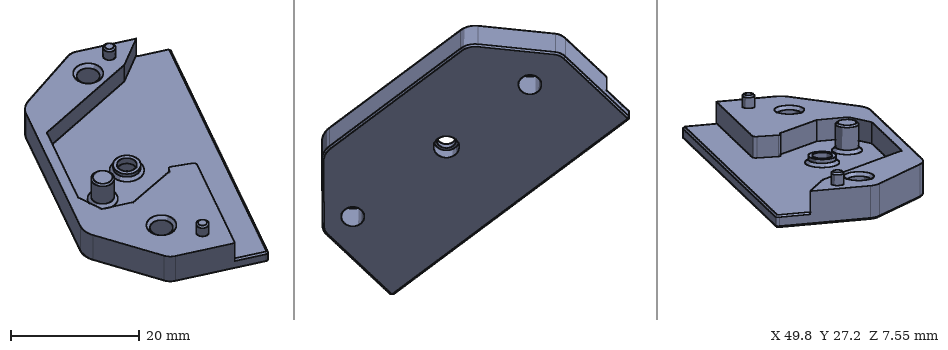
import cadquery as cq

length = 49.8
width = 27.25
total_height = 7.55
floor_height = 2.05
block_height = 5.55
edge_chamfer = 0.3

half_length = length / 2
back_y = width / 2
front_y = -width / 2

shoulder_y = -2.65
front_half_length = 15.25
shoulder_radius = 2.5
front_radius = 3.5
back_corner_radius = 0.5

block_back_y = 8.05
recess_front_y = -11.9
nose_radius = 0.6
relief_radius = 0.5
nose_corner = (5.35, block_back_y)
relief_corner = (5, 3.55)

hole_y = -1.55
block_hole_xs = (-19.5, 17.45)
block_hole_diameter = 3.6
countersink_diameter = 4.7
countersink_angle = 90

small_pin_points = [(-22.35, 2.85), (20.95, 4.05)]
small_pin_diameter = 2

large_pin_point = (5.15, -7.15)
large_pin_diameter = 3.65
large_pin_top = 6.55
large_pin_base_diameter = 4.75

bushing_point = (0, hole_y)
bushing_diameter = 4.35
bushing_base_diameter = 5.4
bushing_height = 1.15
bushing_bore = 3.1
bushing_counterbore = 4


def corner(x, y):
    """Selector box around the vertical edge at (x, y)."""
    reach = 0.05
    return cq.selectors.BoxSelector(
        (x - reach, y - reach, -reach), (x + reach, y + reach, total_height), boundingbox=False
    )


def outline_prism(height):
    """Full outline with its front corners rounded."""
    prism = (
        cq.Workplane("XY")
        .polyline([
            (-half_length, back_y),
            (-half_length, shoulder_y),
            (-front_half_length, front_y),
            (front_half_length, front_y),
            (half_length, shoulder_y),
            (half_length, back_y),
        ])
        .close()
        .extrude(height)
    )
    for side in (-1, 1):
        prism = prism.edges(corner(side * half_length, shoulder_y)).fillet(shoulder_radius)
        prism = prism.edges(corner(side * front_half_length, front_y)).fillet(front_radius)
        prism = prism.edges(corner(side * half_length, back_y)).fillet(back_corner_radius)
    return prism


def recess_cutter():
    """Everything above the floor that lies behind or between the block walls."""
    cutter = (
        cq.Workplane("XY")
        .polyline([
            (-half_length, back_y),
            (-half_length, block_back_y),
            (-19.65, 4.45),
            (-8.45, recess_front_y),
            (7.3, recess_front_y),
            (11.0, -9.2),
            (11.0, -4.05),
            (5.95, relief_corner[1]),
            relief_corner,
            nose_corner,
            (half_length, block_back_y),
            (half_length, back_y),
        ])
        .close()
        .extrude(block_height)
    )
    cutter = cutter.edges(corner(*relief_corner)).fillet(relief_radius)
    cutter = cutter.edges(corner(*nose_corner)).fillet(nose_radius)
    return cutter.translate((0, 0, floor_height))


def pin(point, diameter, bottom, top):
    """Round pin with a chamfered tip."""
    return (
        cq.Workplane("XY", origin=(*point, bottom))
        .circle(diameter / 2)
        .extrude(top - bottom)
        .faces(">Z")
        .chamfer(edge_chamfer)
    )


def base_cone(point, base_diameter, top_diameter):
    """45 degree collar where a round feature meets the recess floor."""
    collar_height = (base_diameter - top_diameter) / 2
    return (
        cq.Workplane("XY", origin=(*point, floor_height))
        .circle(base_diameter / 2)
        .workplane(offset=collar_height)
        .circle(top_diameter / 2)
        .loft()
    )


plate = outline_prism(floor_height).faces("<Z or >Z").chamfer(edge_chamfer)
block = outline_prism(block_height).faces("<Z").chamfer(edge_chamfer).cut(recess_cutter())
strip_depth = back_y - block_back_y
behind_block = (
    cq.Workplane("XY", origin=(0, block_back_y, 0))
    .box(length, strip_depth, floor_height, centered=(True, False, False))
)
result = block.cut(behind_block).union(plate)

result = (
    result.faces(">Z")
    .workplane(origin=(0, 0, block_height))
    .pushPoints([(x, hole_y) for x in block_hole_xs])
    .cskHole(block_hole_diameter, countersink_diameter, countersink_angle)
)

for small_pin_point in small_pin_points:
    result = result.union(pin(small_pin_point, small_pin_diameter, floor_height, total_height))
result = result.union(pin(large_pin_point, large_pin_diameter, edge_chamfer, large_pin_top))
result = result.union(base_cone(large_pin_point, large_pin_base_diameter, large_pin_diameter))

bushing = (
    cq.Workplane("XY", origin=(*bushing_point, floor_height))
    .circle(bushing_diameter / 2)
    .extrude(bushing_height)
)
result = result.union(bushing)
result = result.union(base_cone(bushing_point, bushing_base_diameter, bushing_diameter))
bore_start = cq.Workplane("XY", origin=(*bushing_point, 0))
result = result.cut(bore_start.circle(bushing_bore / 2).extrude(total_height))
result = result.cut(bore_start.circle(bushing_counterbore / 2).extrude(floor_height))